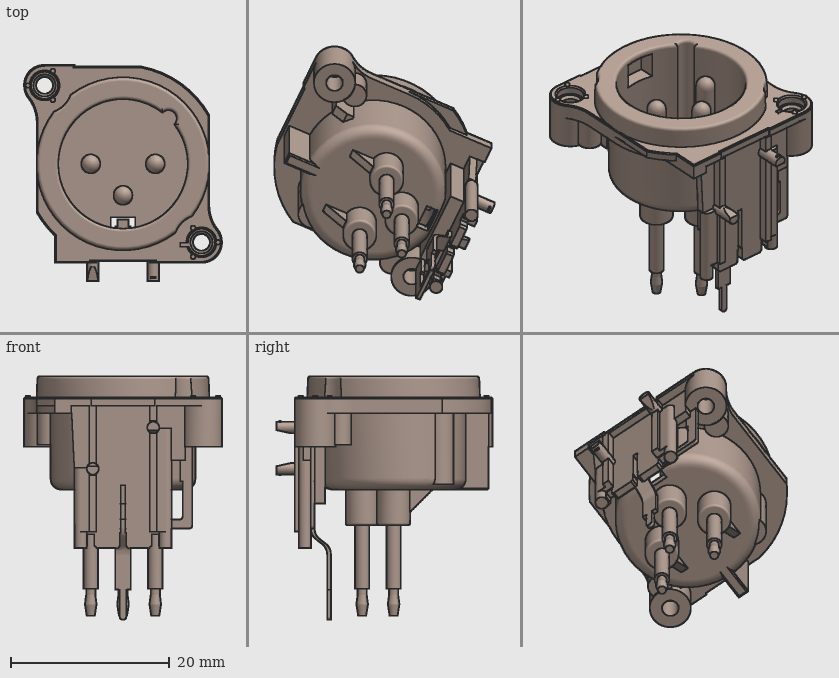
import cadquery as cq
import math


FLANGE_HALF = 12.5
SIDE_X = 10.9
FLANGE_THICKNESS = 2.0
LIP_THICKNESS = 1.05
RIM_HEIGHT = 2.7
TOTAL_HEIGHT = 30.77
LOWEST_Z = RIM_HEIGHT - TOTAL_HEIGHT
EDGE_CHAMFER = 0.15
RECESSED_EDGE_Y = 12.3
BACK_STEP_X = -6.1
FRONT_RECESS_X = 4.03
FRONT_LEFT_X = -8.6
FRONT_LEFT_Y = -math.sqrt(FLANGE_HALF**2 - FRONT_LEFT_X**2)

EAR_RADIUS = 2.6
EAR_OFFSET = FLANGE_HALF - EAR_RADIUS
EAR_HEIGHT = 6.25
EAR_BLEND_RADIUS = 4.9
EAR_BOSS_RADIUS = 1.5
EAR_BOSS_X = 9.33
EAR_BOSS_Y = 6.85
EAR_BOSS_HEIGHT = 5.95
SCREW_DIAMETER = 2.1
COUNTERBORE_DIAMETER = 3.4
COUNTERBORE_DEPTH = 1.1
BORE_CHAMFER = 0.2
SCREW_LEAD_IN = 0.35
BUMP_RADIUS = 0.3
BUMP_CIRCLE_RADIUS = 2.1
BUMP_HEIGHT = 0.2

RIM_BASE_RADIUS = 10.93
RIM_TOP_RADIUS = 10.83
RIM_FILLET = 0.4
RIM_RELIEF_RADIUS = 3.5
CUP_RADIUS = 9.15
CUP_BOTTOM_Z = -11.65
CUP_FILLET = 1.4
CUP_FLOOR_THICKNESS = 1.5
CUP_FLOOR_Z = CUP_BOTTOM_Z + CUP_FLOOR_THICKNESS
SOCKET_RADIUS = 8.17
KEY_RADIUS = 2.1 / 2
KEY_CENTER_RADIUS = 8.1
KEY_OFFSET = KEY_CENTER_RADIUS * math.sqrt(0.5)
KEY_WALL = 0.8

PIN_X = 4.07
PIN_THREE_Y = -3.97
PIN_CONTACT_RADIUS = 2.4 / 2
PIN_TOP_Z = 1.4
PIN_TAIL_RADIUS = 1.85 / 2
PIN_NECK_RADIUS = 1.2 / 2
PIN_BARB_RADIUS = 1.5 / 2
PIN_TIP_RADIUS = 0.52
PIN_SHOULDER_Z = -24.15
PIN_NECK_END_Z = -24.95
PIN_BARB_Z = -26.1
PIN_TIP_Z = -27.55
PIN_BOSS_RADIUS = 4.2 / 2
PIN_BOSS_BOTTOM_Z = -16.15
PIN_BOSS_FILLET = 0.3
PIN_RIB_THICKNESS = 1.0
PIN_RIB_REACH = 4.9
PIN_RIB_BOTTOM_Z = -14.45

WALL_FRONT_Y = -11.43
WALL_BACK_Y = -10.46
WALL_BOTTOM_Z = -19.0
WALL_LEFT_TOP_X = -6.52
COLUMN_OUTER_X = 6.15
COLUMN_RADIUS = 0.8
COLUMN_X = COLUMN_OUTER_X - COLUMN_RADIUS
COLUMN_Y = -11.2
COLUMN_FRONT_Y = COLUMN_Y - COLUMN_RADIUS
LEFT_COLUMN_TOP_Z = -8.87
RIGHT_COLUMN_TOP_Z = -3.9
STRIP_CENTER_X = 3.82
STRIP_WIDTH = 0.87
STRIP_INNER_X = STRIP_CENTER_X - STRIP_WIDTH / 2
STRIP_OUTER_X = STRIP_CENTER_X + STRIP_WIDTH / 2
STRIP_BOTTOM_Z = -16.93
WALL_NOTCH_TOP_Z = -17.25
WALL_NOTCH_INNER_X = 3.6
WALL_NOTCH_OUTER_X = 4.5
WALL_NOTCH_FLARE = 0.3
RIGHT_PANEL_X = 7.88
RIGHT_PANEL_BOTTOM_Z = -7.95
BACKING_HALF_WIDTH = 4.6
BACKING_Y = -8.64
BACKING_BOTTOM_Z = -13.4
SLOT_TOP_Z = -11.1
SLOT_WIDE_Z = -17.1
SLOT_HALF_WIDTH = 0.3
SLOT_WIDE_HALF_WIDTH = 0.4
SLOT_FLARE = 0.25

PEG_RADIUS = 1.5 / 2
PEG_TIP_Y = FLANGE_HALF - 27.3
LEFT_PEG_Z = -9.0
RIGHT_PEG_Z = -3.8
PEG_FLAT_START_Y = -12.9
PEG_FLAT_TIP_HEIGHT = 0.33
PEG_BARB_Y = -14.35
PEG_BARB_LENGTH = 0.2
PEG_BARB_HEIGHT = 0.08
PEG_BARB_HALF_WIDTH = 0.3

SHEET_THICKNESS = 0.5
SHEET_BACK_Y = WALL_BACK_Y + SHEET_THICKNESS
ARM_OUTER_X = 8.75
ARM_UPPER_INNER_X = 7.22
ARM_INNER_X = 7.52
ARM_STEP_Z = -10.55
FOOT_TOP_Z = -15.4
FOOT_BOTTOM_Z = -16.55
FOOT_CORNER = 0.4
TAIL_HALF_WIDTH = 1.0
TAIL_FRONT_Y = -8.4
TAIL_BACK_Y = TAIL_FRONT_Y + SHEET_THICKNESS
TAIL_BEND_END_Z = -19.8
TAIL_SHOULDER_Z = -24.25
TAIL_TIP_HALF_WIDTH = 0.43

BACK_RIB_HALF_WIDTH = 0.75
BACK_RIB_Y = 12.0
BACK_RIB_CHAMFER = 0.2
LATCH_WINDOW_HALF_WIDTH = 2.0
LATCH_WINDOW_BOTTOM_Z = -1.5
LATCH_WINDOW_TOP_Z = 1.9
LATCH_WINDOW_BACK_Y = 10.0
FLOOR_WINDOW_HALF_WIDTH = 1.53
FLOOR_WINDOW_INNER_Y = -6.76
FLOOR_WINDOW_OUTER_Y = -8.3
FINGER_HALF_WIDTH = 0.72
FINGER_INNER_Y = -7.0
FINGER_TOP_Z = -6.0
GUSSET_OUTER_X = -7.2
GUSSET_INNER_X = -6.0
GUSSET_BACK_Y = 8.45
GUSSET_SLOPE_END_Y = 6.9
GUSSET_FRONT_Y = 6.0
GUSSET_BOTTOM_Z = -7.5

EAR_CENTERS = [(-EAR_OFFSET, EAR_OFFSET), (EAR_OFFSET, -EAR_OFFSET)]
PIN_CENTERS = [(-PIN_X, 0), (PIN_X, 0), (0, PIN_THREE_Y)]


def box(x_range, y_range, z_range):
    """Axis-aligned block from three (start, end) ranges."""
    size = [abs(r[1] - r[0]) for r in (x_range, y_range, z_range)]
    middle = [(r[0] + r[1]) / 2 for r in (x_range, y_range, z_range)]
    return cq.Workplane("XY").box(*size).translate(tuple(middle))


def rod(x, y, z_bottom, z_top, radius):
    """Vertical cylinder between two heights."""
    return cq.Workplane("XY", origin=(x, y, z_bottom)).circle(radius).extrude(z_top - z_bottom)


def prism_along_x(points, x_start, x_end):
    """Polygon in (y, z) extruded along X."""
    return cq.Workplane("YZ", origin=(x_start, 0, 0)).polyline(points).close().extrude(x_end - x_start)


def prism_along_y(points, y_start, y_end):
    """Polygon in (x, z) extruded from y_start back to y_end."""
    return cq.Workplane("XZ", origin=(0, y_start, 0)).polyline(points).close().extrude(y_start - y_end)


def ear_blend():
    """Concave blend tangent to the side face and the ear circle, worked out in the positive quadrant.

    Returns the height where it leaves the side face, its middle point and its join with the ear.
    """
    center_x = SIDE_X + EAR_BLEND_RADIUS
    reach = EAR_RADIUS + EAR_BLEND_RADIUS
    run = center_x - EAR_OFFSET
    center_y = EAR_OFFSET - math.sqrt(reach**2 - run**2)
    angle = math.atan2(EAR_OFFSET - center_y, run)
    join = (EAR_OFFSET + EAR_RADIUS * math.cos(angle), EAR_OFFSET - EAR_RADIUS * math.sin(angle))
    middle = (
        center_x - EAR_BLEND_RADIUS * math.cos(angle / 2),
        center_y + EAR_BLEND_RADIUS * math.sin(angle / 2),
    )
    return center_y, middle, join


def flange_outline():
    """Flange contour on the flange underside, with both ears blended into the side faces."""
    corner_y = math.sqrt(FLANGE_HALF**2 - SIDE_X**2)
    arc_start_x = math.sqrt(FLANGE_HALF**2 - RECESSED_EDGE_Y**2)
    corner_mid = FLANGE_HALF * math.sqrt(0.5)
    left_mid_angle = (math.atan2(corner_y, SIDE_X) + math.atan2(-FRONT_LEFT_Y, -FRONT_LEFT_X)) / 2
    left_mid_x = FLANGE_HALF * math.cos(left_mid_angle)
    left_mid_y = FLANGE_HALF * math.sin(left_mid_angle)
    ear_mid = EAR_OFFSET + EAR_RADIUS * math.sqrt(0.5)
    blend_y, (middle_x, middle_y), (join_x, join_y) = ear_blend()

    return (
        cq.Workplane("XY", origin=(0, 0, -FLANGE_THICKNESS))
        .moveTo(-EAR_OFFSET, FLANGE_HALF)
        .lineTo(BACK_STEP_X, FLANGE_HALF)
        .lineTo(BACK_STEP_X, RECESSED_EDGE_Y)
        .lineTo(arc_start_x, RECESSED_EDGE_Y)
        .threePointArc((corner_mid, corner_mid), (SIDE_X, corner_y))
        .lineTo(SIDE_X, -blend_y)
        .threePointArc((middle_x, -middle_y), (join_x, -join_y))
        .threePointArc((ear_mid, -ear_mid), (EAR_OFFSET, -FLANGE_HALF))
        .lineTo(FRONT_RECESS_X, -FLANGE_HALF)
        .lineTo(FRONT_RECESS_X, -RECESSED_EDGE_Y)
        .lineTo(-FRONT_RECESS_X, -RECESSED_EDGE_Y)
        .lineTo(-FRONT_RECESS_X, -FLANGE_HALF)
        .lineTo(FRONT_LEFT_X, -FLANGE_HALF)
        .lineTo(FRONT_LEFT_X, FRONT_LEFT_Y)
        .threePointArc((-left_mid_x, -left_mid_y), (-SIDE_X, -corner_y))
        .lineTo(-SIDE_X, blend_y)
        .threePointArc((-middle_x, middle_y), (-join_x, join_y))
        .threePointArc((-ear_mid, ear_mid), (-EAR_OFFSET, FLANGE_HALF))
        .close()
    )


def make_flange():
    """Flange plate with its lower layer set back at the left side and in front of the wall."""
    plate = flange_outline().extrude(FLANGE_THICKNESS)
    plate = plate.faces(">Z").edges().chamfer(EDGE_CHAMFER)
    lower = (-FLANGE_THICKNESS, -LIP_THICKNESS)
    left_relief = box((-FLANGE_HALF, FRONT_LEFT_X), (-FLANGE_HALF, 0), lower)
    left_relief = left_relief.cut(rod(0, 0, -FLANGE_THICKNESS, 0, SIDE_X))
    front_relief = box((WALL_LEFT_TOP_X, EAR_OFFSET), (-FLANGE_HALF, WALL_FRONT_Y), lower)
    front_relief = front_relief.cut(rod(EAR_OFFSET, -EAR_OFFSET, -FLANGE_THICKNESS, 0, EAR_RADIUS))
    return plate.cut(left_relief).cut(front_relief)


def make_ear(side):
    """Ear cylinder below the flange; its outer arc ends where the flange contour does."""
    _, _, (join_x, join_y) = ear_blend()
    near = EAR_OFFSET - EAR_RADIUS * math.sqrt(0.5)
    far = EAR_OFFSET + EAR_RADIUS * math.sqrt(0.5)
    return (
        cq.Workplane("XY", origin=(0, 0, -EAR_HEIGHT))
        .moveTo(side * join_x, -side * join_y)
        .threePointArc((side * far, -side * far), (side * EAR_OFFSET, -side * FLANGE_HALF))
        .threePointArc((side * near, -side * near), (side * join_x, -side * join_y))
        .close()
        .extrude(EAR_HEIGHT - FLANGE_THICKNESS)
    )


def add_ears(body):
    """Two ears, each with a smaller boss beside it."""
    for side in (-1, 1):
        body = body.union(make_ear(side))
        boss_x = side * EAR_BOSS_X
        boss_y = -side * EAR_BOSS_Y
        body = body.union(rod(boss_x, boss_y, -EAR_BOSS_HEIGHT, -FLANGE_THICKNESS, EAR_BOSS_RADIUS))
    return body


def make_gusset():
    """Sloped web between the left ear boss and the cup."""
    points = [
        (GUSSET_BACK_Y, -FLANGE_THICKNESS),
        (GUSSET_BACK_Y, -EAR_HEIGHT),
        (GUSSET_SLOPE_END_Y, GUSSET_BOTTOM_Z),
        (GUSSET_FRONT_Y, GUSSET_BOTTOM_Z),
        (GUSSET_FRONT_Y, -FLANGE_THICKNESS),
    ]
    return prism_along_x(points, GUSSET_OUTER_X, GUSSET_INNER_X)


def cut_screw_holes(body):
    """Chamfered counterbore and countersunk screw hole through each ear."""
    bore_radius = COUNTERBORE_DIAMETER / 2
    screw_radius = SCREW_DIAMETER / 2
    profile = [
        (0, 0),
        (bore_radius + BORE_CHAMFER, 0),
        (bore_radius, -BORE_CHAMFER),
        (bore_radius, -COUNTERBORE_DEPTH),
        (screw_radius + SCREW_LEAD_IN, -COUNTERBORE_DEPTH),
        (screw_radius, -COUNTERBORE_DEPTH - SCREW_LEAD_IN),
        (screw_radius, -EAR_HEIGHT),
        (0, -EAR_HEIGHT),
    ]
    hole = cq.Workplane("XZ").polyline(profile).close().revolve(360, (0, 0), (0, 1))
    for x, y in EAR_CENTERS:
        body = body.cut(hole.translate((x, y, 0)))
    return body


def add_ear_bumps(body):
    """Three small domes around each screw hole."""
    for x, y in EAR_CENTERS:
        first_angle = 0 if x > 0 else 180
        for step in range(3):
            angle = math.radians(first_angle + 120 * step)
            bump_x = x + BUMP_CIRCLE_RADIUS * math.cos(angle)
            bump_y = y + BUMP_CIRCLE_RADIUS * math.sin(angle)
            bump = rod(bump_x, bump_y, -BORE_CHAMFER, BUMP_HEIGHT, BUMP_RADIUS)
            body = body.union(bump.faces(">Z").edges().fillet(BUMP_HEIGHT / 2))
    return body


def make_socket_bore():
    """Socket bore and its key groove, from the cup floor to the rim."""
    bore = rod(0, 0, CUP_FLOOR_Z, RIM_HEIGHT, SOCKET_RADIUS)
    return bore.union(rod(KEY_OFFSET, KEY_OFFSET, CUP_FLOOR_Z, RIM_HEIGHT, KEY_RADIUS))


def make_rim():
    """Drafted ring, relieved near both ears and rounded around its top face."""
    profile = [(0, 0), (RIM_BASE_RADIUS, 0), (RIM_TOP_RADIUS, RIM_HEIGHT), (0, RIM_HEIGHT)]
    rim = cq.Workplane("XZ").polyline(profile).close().revolve(360, (0, 0), (0, 1))
    for x, y in EAR_CENTERS:
        rim = rim.cut(rod(x, y, 0, RIM_HEIGHT, RIM_RELIEF_RADIUS))
    rim = rim.cut(make_socket_bore())
    return rim.faces(">Z").edges().fillet(RIM_FILLET)


def make_cup():
    """Solid cup with an outer bulge that keeps a wall around the key groove."""
    cup = rod(0, 0, CUP_BOTTOM_Z, 0, CUP_RADIUS)
    cup = cup.faces("<Z").edges().fillet(CUP_FILLET)
    bulge_bottom = CUP_FLOOR_Z - KEY_WALL
    return cup.union(rod(KEY_OFFSET, KEY_OFFSET, bulge_bottom, 0, KEY_RADIUS + KEY_WALL))


def make_back_rib():
    """Upright rib behind the cup, under the back edge of the flange."""
    rib = box(
        (-BACK_RIB_HALF_WIDTH, BACK_RIB_HALF_WIDTH),
        (SOCKET_RADIUS - CUP_FILLET, BACK_RIB_Y),
        (CUP_BOTTOM_Z, -LIP_THICKNESS),
    )
    return rib.faces("<Z").edges().chamfer(BACK_RIB_CHAMFER)


def cut_windows(body):
    """Latch recess in the socket wall, window in the cup floor and pocket over the ground contact."""
    latch = box(
        (-LATCH_WINDOW_HALF_WIDTH, LATCH_WINDOW_HALF_WIDTH),
        (SOCKET_RADIUS / 2, LATCH_WINDOW_BACK_Y),
        (LATCH_WINDOW_BOTTOM_Z, LATCH_WINDOW_TOP_Z),
    )
    floor = box(
        (-FLOOR_WINDOW_HALF_WIDTH, FLOOR_WINDOW_HALF_WIDTH),
        (FLOOR_WINDOW_OUTER_Y, FLOOR_WINDOW_INNER_Y),
        (CUP_BOTTOM_Z, CUP_FLOOR_Z),
    )
    contact_pocket = box(
        (ARM_UPPER_INNER_X, ARM_OUTER_X),
        (WALL_BACK_Y, SHEET_BACK_Y),
        (-COUNTERBORE_DEPTH, 0),
    )
    return body.cut(latch).cut(floor).cut(contact_pocket)


def make_finger():
    """Ground spring finger standing out of the socket wall."""
    return box(
        (-FINGER_HALF_WIDTH, FINGER_HALF_WIDTH),
        (FLOOR_WINDOW_OUTER_Y, FINGER_INNER_Y),
        (FINGER_TOP_Z - SHEET_THICKNESS, FINGER_TOP_Z),
    )


def make_pin(x, y):
    """Round contact: domed top, straight tail, neck and barbed tip."""
    dome_center_z = PIN_TOP_Z - PIN_CONTACT_RADIUS
    dome = PIN_CONTACT_RADIUS * math.sqrt(0.5)
    return (
        cq.Workplane("XZ")
        .moveTo(0, PIN_TOP_Z)
        .threePointArc((dome, dome_center_z + dome), (PIN_CONTACT_RADIUS, dome_center_z))
        .lineTo(PIN_CONTACT_RADIUS, CUP_BOTTOM_Z)
        .lineTo(PIN_TAIL_RADIUS, CUP_BOTTOM_Z)
        .lineTo(PIN_TAIL_RADIUS, PIN_SHOULDER_Z)
        .lineTo(PIN_NECK_RADIUS, PIN_SHOULDER_Z)
        .lineTo(PIN_NECK_RADIUS, PIN_NECK_END_Z)
        .lineTo(PIN_BARB_RADIUS, PIN_BARB_Z)
        .lineTo(PIN_TIP_RADIUS, PIN_TIP_Z)
        .lineTo(0, PIN_TIP_Z)
        .close()
        .revolve(360, (0, 0), (0, 1))
        .translate((x, y, 0))
    )


def add_pins(body):
    """Contacts with their bosses under the cup, and ribs behind the two outer bosses."""
    for x, y in PIN_CENTERS:
        boss = rod(x, y, PIN_BOSS_BOTTOM_Z, CUP_FLOOR_Z, PIN_BOSS_RADIUS)
        body = body.union(boss.faces("<Z").edges().fillet(PIN_BOSS_FILLET))
    rib_points = [
        (0, CUP_FLOOR_Z),
        (PIN_RIB_REACH, CUP_FLOOR_Z),
        (PIN_RIB_REACH, CUP_BOTTOM_Z),
        (PIN_BOSS_RADIUS, PIN_RIB_BOTTOM_Z),
        (0, PIN_RIB_BOTTOM_Z),
    ]
    for x in (-PIN_X, PIN_X):
        body = body.union(prism_along_x(rib_points, x - PIN_RIB_THICKNESS / 2, x + PIN_RIB_THICKNESS / 2))
    for x, y in PIN_CENTERS:
        body = body.union(make_pin(x, y))
    return body


def make_wall():
    """Front wall with end columns, strips and a centre slot."""
    plate = prism_along_y(
        [
            (WALL_LEFT_TOP_X, -LIP_THICKNESS),
            (RIGHT_PANEL_X, -LIP_THICKNESS),
            (RIGHT_PANEL_X, RIGHT_PANEL_BOTTOM_Z),
            (COLUMN_X, RIGHT_PANEL_BOTTOM_Z),
            (COLUMN_X, WALL_BOTTOM_Z),
            (-COLUMN_X, WALL_BOTTOM_Z),
            (-COLUMN_X, LEFT_COLUMN_TOP_Z),
            (-COLUMN_OUTER_X, LEFT_COLUMN_TOP_Z),
        ],
        WALL_BACK_Y,
        WALL_FRONT_Y,
    )
    backing = box(
        (-BACKING_HALF_WIDTH, BACKING_HALF_WIDTH),
        (WALL_BACK_Y, BACKING_Y),
        (BACKING_BOTTOM_Z, -LIP_THICKNESS),
    )
    backing = backing.cut(rod(0, 0, BACKING_BOTTOM_Z, 0, SOCKET_RADIUS))
    wall = plate.union(backing)
    for side, column_top in ((-1, LEFT_COLUMN_TOP_Z), (1, RIGHT_COLUMN_TOP_Z)):
        notch_inner = side * WALL_NOTCH_INNER_X
        notch_outer = side * WALL_NOTCH_OUTER_X
        notch_points = [
            (notch_inner, WALL_NOTCH_TOP_Z),
            (notch_inner, WALL_BOTTOM_Z + WALL_NOTCH_FLARE),
            (notch_inner - side * WALL_NOTCH_FLARE, WALL_BOTTOM_Z),
            (notch_outer + side * WALL_NOTCH_FLARE, WALL_BOTTOM_Z),
            (notch_outer, WALL_BOTTOM_Z + WALL_NOTCH_FLARE),
            (notch_outer, WALL_NOTCH_TOP_Z),
        ]
        wall = wall.cut(prism_along_y(notch_points, WALL_BACK_Y, WALL_FRONT_Y))
        wall = wall.union(rod(side * COLUMN_X, COLUMN_Y, WALL_BOTTOM_Z, column_top, COLUMN_RADIUS))
        infill = box(
            (side * COLUMN_X, side * STRIP_CENTER_X),
            (WALL_FRONT_Y, COLUMN_FRONT_Y),
            (STRIP_BOTTOM_Z, column_top),
        )
        strip = box(
            (side * STRIP_INNER_X, side * STRIP_OUTER_X),
            (WALL_FRONT_Y, -FLANGE_HALF),
            (STRIP_BOTTOM_Z, -LIP_THICKNESS),
        )
        wall = wall.union(infill).union(strip)
    return wall.cut(make_wall_slot())


def make_wall_slot():
    """Narrow centre slot, wider and flared at its open lower end."""
    right_side = [
        (SLOT_HALF_WIDTH, SLOT_TOP_Z),
        (SLOT_HALF_WIDTH, SLOT_WIDE_Z),
        (SLOT_WIDE_HALF_WIDTH, SLOT_WIDE_Z),
        (SLOT_WIDE_HALF_WIDTH, WALL_BOTTOM_Z + SLOT_FLARE),
        (SLOT_WIDE_HALF_WIDTH + SLOT_FLARE, WALL_BOTTOM_Z),
    ]
    left_side = [(-x, z) for x, z in reversed(right_side)]
    return prism_along_y(right_side + left_side, WALL_BACK_Y, WALL_FRONT_Y)


def make_peg(side, center_z, flat_side):
    """Peg pointing to -Y: one sloped flat above (+1) or below (-1), a small barb on the other side."""
    peg_x = side * STRIP_CENTER_X
    peg = cq.Workplane("XZ", origin=(peg_x, WALL_BACK_Y, center_z)).circle(PEG_RADIUS)
    peg = peg.extrude(WALL_BACK_Y - PEG_TIP_Y)
    flat_points = [
        (PEG_FLAT_START_Y, center_z + flat_side * PEG_RADIUS),
        (PEG_TIP_Y, center_z + flat_side * PEG_FLAT_TIP_HEIGHT),
        (PEG_TIP_Y, center_z + flat_side * PEG_RADIUS),
    ]
    peg = peg.cut(prism_along_x(flat_points, peg_x - PEG_RADIUS, peg_x + PEG_RADIUS))
    barb = box(
        (peg_x - PEG_BARB_HALF_WIDTH, peg_x + PEG_BARB_HALF_WIDTH),
        (PEG_BARB_Y - PEG_BARB_LENGTH / 2, PEG_BARB_Y + PEG_BARB_LENGTH / 2),
        (center_z, center_z - flat_side * (PEG_RADIUS + PEG_BARB_HEIGHT)),
    )
    return peg.union(barb)


def make_ground_contact():
    """Sheet strip: arm under the right ear, foot along X and a joggled solder tail."""
    sheet = prism_along_y(
        [
            (ARM_UPPER_INNER_X, -COUNTERBORE_DEPTH),
            (ARM_OUTER_X, -COUNTERBORE_DEPTH),
            (ARM_OUTER_X, FOOT_BOTTOM_Z),
            (-TAIL_HALF_WIDTH, FOOT_BOTTOM_Z),
            (-TAIL_HALF_WIDTH, FOOT_TOP_Z),
            (ARM_INNER_X, FOOT_TOP_Z),
            (ARM_INNER_X, ARM_STEP_Z),
            (ARM_UPPER_INNER_X, ARM_STEP_Z),
        ],
        SHEET_BACK_Y,
        WALL_BACK_Y,
    )
    margin = SHEET_THICKNESS / 2
    corners = cq.selectors.BoxSelector(
        (ARM_INNER_X - margin, WALL_BACK_Y, FOOT_BOTTOM_Z - margin),
        (ARM_OUTER_X + margin, SHEET_BACK_Y, FOOT_TOP_Z + margin),
    )
    sheet = sheet.edges("|Y").edges(corners).fillet(FOOT_CORNER)
    return sheet.union(make_tail())


def make_tail():
    """Solder tail: S-bend from the wall plane to the tail plane, narrowed to a round tip."""
    joggle = (
        cq.Workplane("YZ", origin=(-TAIL_HALF_WIDTH, 0, 0))
        .moveTo(WALL_BACK_Y, FOOT_BOTTOM_Z)
        .spline([(TAIL_FRONT_Y, TAIL_BEND_END_Z)], tangents=[(0, -1), (0, -1)], includeCurrent=True)
        .lineTo(TAIL_FRONT_Y, LOWEST_Z)
        .lineTo(TAIL_BACK_Y, LOWEST_Z)
        .lineTo(TAIL_BACK_Y, TAIL_BEND_END_Z)
        .spline([(SHEET_BACK_Y, FOOT_BOTTOM_Z)], tangents=[(0, 1), (0, 1)], includeCurrent=True)
        .close()
        .extrude(2 * TAIL_HALF_WIDTH)
    )
    tip_center_z = LOWEST_Z + TAIL_TIP_HALF_WIDTH
    blank = (
        cq.Workplane("XZ", origin=(0, TAIL_BACK_Y, 0))
        .moveTo(-TAIL_HALF_WIDTH, FOOT_BOTTOM_Z)
        .lineTo(TAIL_HALF_WIDTH, FOOT_BOTTOM_Z)
        .lineTo(TAIL_HALF_WIDTH, TAIL_SHOULDER_Z)
        .lineTo(TAIL_TIP_HALF_WIDTH, TAIL_SHOULDER_Z)
        .lineTo(TAIL_TIP_HALF_WIDTH, tip_center_z)
        .threePointArc((0, LOWEST_Z), (-TAIL_TIP_HALF_WIDTH, tip_center_z))
        .lineTo(-TAIL_TIP_HALF_WIDTH, TAIL_SHOULDER_Z)
        .lineTo(-TAIL_HALF_WIDTH, TAIL_SHOULDER_Z)
        .close()
        .extrude(TAIL_BACK_Y - WALL_BACK_Y)
    )
    return joggle.intersect(blank)


body = make_flange().union(make_rim()).union(make_cup())
body = body.union(make_back_rib())
body = add_ears(body).union(make_gusset())
body = body.union(make_wall()).union(make_ground_contact())
body = cut_screw_holes(body)
body = add_ear_bumps(body)
body = body.cut(make_socket_bore())
body = cut_windows(body).union(make_finger())
body = add_pins(body)
body = body.union(make_peg(-1, LEFT_PEG_Z, 1)).union(make_peg(1, RIGHT_PEG_Z, -1))

result = cq.Workplane("XY").newObject([body.solids().val()])